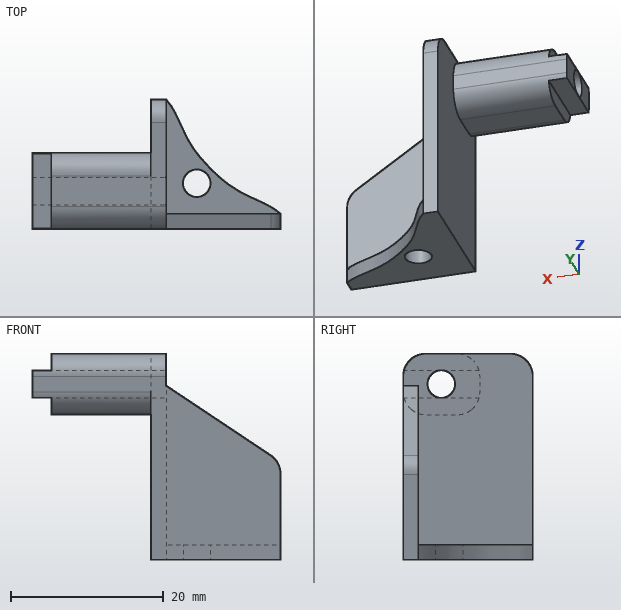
import cadquery as cq

length = 32.5
depth = 17.0
height = 27.0

wall = 2.0
corner_radius = 3.0
hole_diameter = 3.58

arm_width = 10.0
arm_height = 8.0
tongue_length = 2.5
tongue_height = 3.6
wall_x = 15.5
inner_x = wall_x + wall
arm_center_y = arm_width / 2
arm_center_z = height - arm_height / 2

slope_start_z = 22.8
slope_run = length - inner_x
slope_end_z = slope_start_z - slope_run * 2 / 3

floor_reach = depth - wall
edge_near_tip = (0.85, 13.8)
edge_quarter = (2.83, 9.75)
edge_middle = 5.85
floor_hole_offset = 4.0


def make_block(x_start, x_end, y_end, z_start, z_end):
    """Box starting at the front face, y = 0."""
    size = (x_end - x_start, y_end, z_end - z_start)
    return cq.Workplane("XY").box(*size, centered=False).translate((x_start, 0, z_start))


def make_upright_wall():
    block = make_block(wall_x, inner_x, depth, 0, height)
    return block.edges("|X and >Z").fillet(corner_radius)


def make_front_plate():
    plate = (
        cq.Workplane("XZ")
        .moveTo(inner_x, 0)
        .lineTo(length, 0)
        .lineTo(length, slope_end_z)
        .lineTo(inner_x, slope_start_z)
        .close()
        .extrude(-wall)
    )
    slope_corner = cq.selectors.NearestToPointSelector((length, wall / 2, slope_end_z))
    return plate.edges(slope_corner).fillet(corner_radius)


def make_floor():
    half_edge = [(0, floor_reach), edge_near_tip, edge_quarter]
    mirrored_half = [(y, x) for x, y in reversed(half_edge)]
    edge_points = half_edge + [(edge_middle, edge_middle)] + mirrored_half
    return (
        cq.Workplane("XY", origin=(inner_x, wall, 0))
        .lineTo(0, floor_reach)
        .spline(edge_points[1:], includeCurrent=True)
        .close()
        .extrude(wall)
        .faces("<Z")
        .workplane(origin=(inner_x + floor_hole_offset, wall + floor_hole_offset, 0))
        .hole(hole_diameter)
    )


def make_arm():
    bar = make_block(0, inner_x, arm_width, height - arm_height, height)
    bar = bar.edges("|X").fillet(corner_radius)
    tongue_bottom = arm_center_z - tongue_height / 2
    tongue_top = arm_center_z + tongue_height / 2
    above_tongue = make_block(0, tongue_length, arm_width, tongue_top, height)
    below_tongue = make_block(0, tongue_length, arm_width, height - arm_height, tongue_bottom)
    return bar.cut(above_tongue).cut(below_tongue)


arm_bore = (
    cq.Workplane("YZ")
    .center(arm_center_y, arm_center_z)
    .circle(hole_diameter / 2)
    .extrude(inner_x)
)

bracket = make_upright_wall().union(make_front_plate()).union(make_floor())
result = bracket.union(make_arm()).cut(arm_bore)